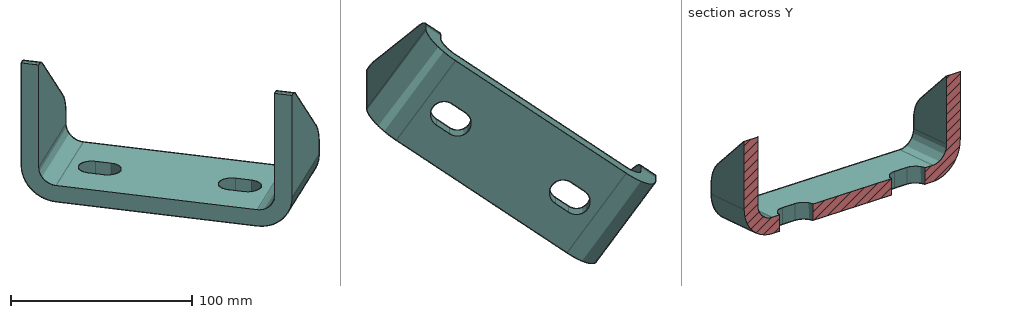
import cadquery as cq

length = 154.8
depth = 57.0
height = 82.7

thickness = 10.0
outer_bend_radius = 20.0
inner_bend_radius = outer_bend_radius - thickness

tip_width = 5.0
shoulder_height = 34.5
tip_radius = 8.0
shoulder_radius = 20.0

slot_length = 24.0
slot_width = 15.0
slot_spacing = 80.0
slot_offset_y = -1.0

front_y = -depth / 2
back_y = depth / 2


def make_channel():
    """U-shaped bent plate, extruded along Y, with its base on Z = 0."""
    outer = (
        cq.Workplane("XY")
        .box(length, depth, height, centered=(True, True, False))
        .edges("|Y and <Z")
        .fillet(outer_bend_radius)
    )
    cavity = (
        cq.Workplane("XY", origin=(0, 0, thickness))
        .box(length - 2 * thickness, depth, height, centered=(True, True, False))
        .edges("|Y and <Z")
        .fillet(inner_bend_radius)
    )
    return outer.cut(cavity)


def make_side_envelope():
    """Flange side outline, extruded across the whole length."""
    tip_y = front_y + tip_width
    envelope = (
        cq.Workplane("YZ", origin=(-length / 2, 0, 0))
        .moveTo(front_y, 0)
        .lineTo(back_y, 0)
        .lineTo(back_y, shoulder_height)
        .lineTo(tip_y, height)
        .lineTo(front_y, height)
        .close()
        .extrude(length)
    )
    shoulder_edge = cq.selectors.NearestToPointSelector((0, back_y, shoulder_height))
    tip_edge = cq.selectors.NearestToPointSelector((0, tip_y, height))
    envelope = envelope.edges("|X").edges(shoulder_edge).fillet(shoulder_radius)
    return envelope.edges("|X").edges(tip_edge).fillet(tip_radius)


def make_slots():
    """Pair of slots running along X through the base."""
    return (
        cq.Workplane("XY")
        .pushPoints([(side * slot_spacing / 2, slot_offset_y) for side in (-1, 1)])
        .slot2D(slot_length, slot_width)
        .extrude(thickness)
    )


result = make_channel().intersect(make_side_envelope()).cut(make_slots())